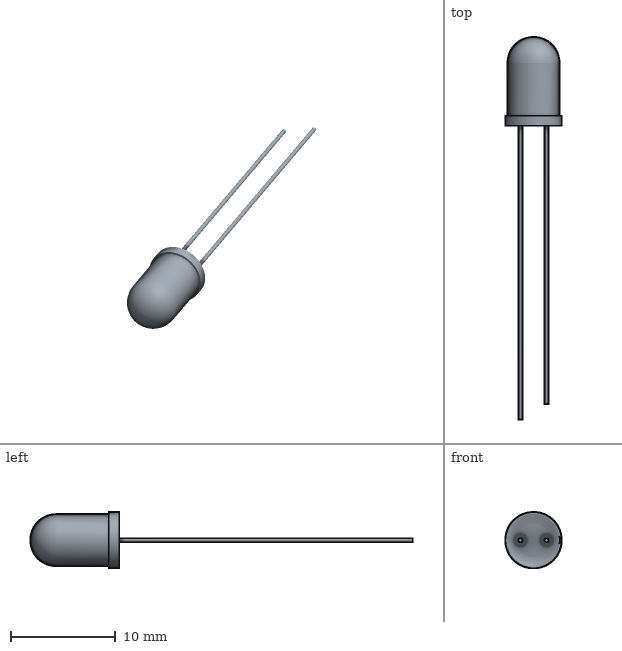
import cadquery as cq

total_length = 36.5
body_length = 8.5

body_radius = 5.0 / 2
flange_radius = 5.4 / 2
flange_thickness = 1.0
dome_start = body_length - body_radius

recess_rim_radius = body_radius
recess_floor_radius = 1.6
recess_depth = 0.2

lead_diameter = 0.4
lead_spacing = 2.5
long_lead_length = total_length - body_length
short_lead_length = 26.55


def make_body():
    """Revolve the domed, flanged body and its base recess about the Y axis."""
    return (
        cq.Workplane("XY")
        .moveTo(0, recess_depth)
        .lineTo(recess_floor_radius, recess_depth)
        .tangentArcPoint((recess_rim_radius, 0), relative=False)
        .lineTo(flange_radius, 0)
        .lineTo(flange_radius, flange_thickness)
        .lineTo(body_radius, flange_thickness)
        .lineTo(body_radius, dome_start)
        .tangentArcPoint((0, body_length), relative=False)
        .close()
        .revolve(360, (0, 0, 0), (0, 1, 0))
    )


def make_lead(x, length):
    """Round lead from inside the body, past the recess floor, out along -Y."""
    root = flange_thickness
    return (
        cq.Workplane("XZ", origin=(x, root, 0))
        .circle(lead_diameter / 2)
        .extrude(root + length)
    )


result = make_body()
for x, length in ((-lead_spacing / 2, long_lead_length), (lead_spacing / 2, short_lead_length)):
    result = result.union(make_lead(x, length))